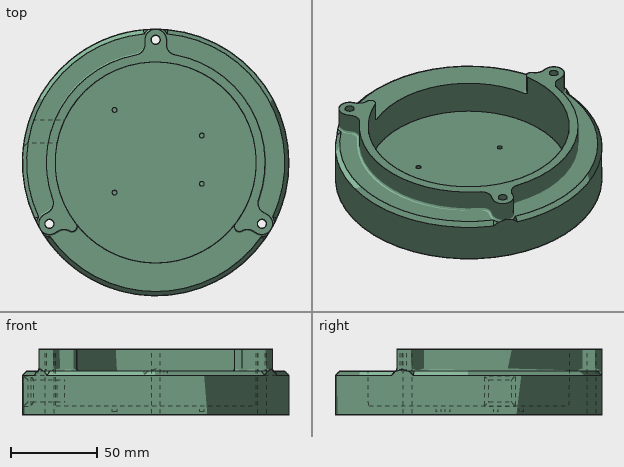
import cadquery as cq
import math

BASE_RADIUS = 77.5
BASE_HEIGHT = 25.4
TOTAL_HEIGHT = 38.1
RIM_CHAMFER = 2.5
FLOOR_THICKNESS = 5.1
BORE_RADIUS = 58.4

WALL_RADIUS = 63.5
WALL_BORE_STOCK = 0.2
WALL_INNER_RADIUS = BORE_RADIUS - WALL_BORE_STOCK
WALL_END_RADIUS = 3.0
EAR_RADIUS = 6.2
EAR_CENTER_RADIUS = BASE_RADIUS - EAR_RADIUS
EAR_SPACING = 120
EAR_ANGLES = (90 - EAR_SPACING, 90, 90 + EAR_SPACING)
EAR_BLEND_RADIUS = 6.2
WALL_FOOT_FILLET = 1.2
EAR_FOOT_RADIUS = 9.3
EAR_HOLE_DIAMETER = 5.1

FLOOR_HOLE_DIAMETER = 2.8
FLOOR_HOLE_DEPTH = 3.1
FLOOR_HOLES = ((-23.9, 30.5), (-23.9, -17.5), (26.8, 15.6), (26.8, -12.4))

WINDOW_WIDTH = 13.3
WINDOW_HEIGHT = 12.7
WINDOW_CENTER_Y = 18.1
WINDOW_BOTTOM = 7.5
WINDOW_CHAMFER = 2.5

OVERSIZE = 6.2
OVERSIZE_RADIUS = BASE_RADIUS + OVERSIZE

SELECT_MARGIN = 0.8


def polar(radius, angle):
    return radius * math.cos(angle), radius * math.sin(angle)


def local_point(ear_angle, along, across):
    """Point given along an ear's axis and across it, counterclockwise positive."""
    c = math.cos(math.radians(ear_angle))
    s = math.sin(math.radians(ear_angle))
    return along * c - across * s, along * s + across * c


def toward(start, target, distance):
    """Point at a distance from start on the line to target."""
    span = math.dist(start, target)
    return tuple(a + (b - a) * distance / span for a, b in zip(start, target))


blend_center_radius = WALL_RADIUS + EAR_BLEND_RADIUS
blend_across = EAR_RADIUS + EAR_BLEND_RADIUS
blend_along = math.sqrt(blend_center_radius**2 - blend_across**2)
blend_angle = math.atan2(blend_across, blend_along)

end_center_radius = WALL_INNER_RADIUS + WALL_END_RADIUS
end_to_blend = WALL_END_RADIUS + EAR_BLEND_RADIUS
blend_to_end_angle = math.acos(
    (blend_center_radius**2 + end_center_radius**2 - end_to_blend**2)
    / (2 * blend_center_radius * end_center_radius)
)
end_angle = blend_angle - blend_to_end_angle


def add_blend(sketch, ear_angle, side, leaving, wall_end):
    """Draw the blend on one side (+1 or -1) of an ear, leaving or reaching the ear."""
    center = local_point(ear_angle, blend_along, side * blend_across)
    flank = local_point(ear_angle, blend_along, side * EAR_RADIUS)
    if wall_end:
        target = local_point(ear_angle, *polar(end_center_radius, side * end_angle))
    else:
        target = (0, 0)
    foot = toward(center, target, EAR_BLEND_RADIUS)
    chord_middle = tuple((a + b) / 2 for a, b in zip(flank, foot))
    middle = toward(center, chord_middle, EAR_BLEND_RADIUS)
    return sketch.threePointArc(middle, foot if leaving else flank)


def wall_end_points(ear_angle, side):
    """Inner point, tip and blend point of the rounded free end beside an ear."""
    center = local_point(ear_angle, *polar(end_center_radius, side * end_angle))
    tangent = math.radians(ear_angle) + side * (end_angle + math.pi / 2)
    blend_center = local_point(ear_angle, blend_along, side * blend_across)
    inner_point = toward(center, (0, 0), WALL_END_RADIUS)
    blend_point = toward(center, blend_center, WALL_END_RADIUS)
    tip = tuple(a + b for a, b in zip(center, polar(WALL_END_RADIUS, tangent)))
    return inner_point, tip, blend_point


def make_wall():
    """Wall and ears, reaching from inside the base up to the top."""
    first, last = EAR_ANGLES[0], EAR_ANGLES[-1]
    inner_start, tip, blend_point = wall_end_points(first, -1)
    sketch = cq.Workplane("XY").moveTo(*inner_start).threePointArc(tip, blend_point)
    for ear in EAR_ANGLES:
        sketch = add_blend(sketch, ear, -1, False, ear == first)
        sketch = sketch.lineTo(*local_point(ear, EAR_CENTER_RADIUS, -EAR_RADIUS))
        sketch = sketch.threePointArc(
            local_point(ear, EAR_CENTER_RADIUS + EAR_RADIUS, 0),
            local_point(ear, EAR_CENTER_RADIUS, EAR_RADIUS),
        )
        sketch = sketch.lineTo(*local_point(ear, blend_along, EAR_RADIUS))
        sketch = add_blend(sketch, ear, 1, True, ear == last)
        if ear != last:
            half_way = math.radians(ear + EAR_SPACING / 2)
            next_foot = math.radians(ear + EAR_SPACING) - blend_angle
            sketch = sketch.threePointArc(polar(WALL_RADIUS, half_way), polar(WALL_RADIUS, next_foot))
    inner_end, tip, _ = wall_end_points(last, 1)
    sketch = sketch.threePointArc(tip, inner_end)
    sketch = sketch.threePointArc((0, WALL_INNER_RADIUS), inner_start).close()
    return sketch.extrude(TOTAL_HEIGHT)


def make_filleted_blank():
    """Oversize base with the wall on top and a fillet all around the foot of the wall."""
    base = cq.Workplane("XY").circle(OVERSIZE_RADIUS).extrude(BASE_HEIGHT)
    wall_zone = cq.selectors.BoxSelector(
        (-BASE_RADIUS - SELECT_MARGIN, -BASE_RADIUS - SELECT_MARGIN, BASE_HEIGHT - SELECT_MARGIN),
        (BASE_RADIUS + SELECT_MARGIN, BASE_RADIUS + SELECT_MARGIN, BASE_HEIGHT + SELECT_MARGIN),
        boundingbox=True,
    )
    return base.union(make_wall()).edges(wall_zone).fillet(WALL_FOOT_FILLET)


def make_rim_cutter():
    """Ring that bevels the top rim of the base, interrupted by a flared foot under each ear."""
    rim_bottom = BASE_HEIGHT - RIM_CHAMFER
    bevel_reach = RIM_CHAMFER + OVERSIZE
    cutter = (
        cq.Workplane("XZ")
        .moveTo(BASE_RADIUS - RIM_CHAMFER, BASE_HEIGHT)
        .lineTo(BASE_RADIUS - RIM_CHAMFER + bevel_reach, BASE_HEIGHT)
        .lineTo(BASE_RADIUS - RIM_CHAMFER + bevel_reach, BASE_HEIGHT - bevel_reach)
        .close()
        .revolve(360, (0, 0), (0, 1))
    )
    for angle in EAR_ANGLES:
        foot = cq.Solid.makeCone(
            EAR_FOOT_RADIUS,
            EAR_RADIUS + WALL_FOOT_FILLET,
            RIM_CHAMFER,
            pnt=cq.Vector(*local_point(angle, EAR_CENTER_RADIUS, 0), rim_bottom),
        )
        cutter = cutter.cut(cq.Workplane(obj=foot))
    return cutter


def make_bore():
    depth = TOTAL_HEIGHT - FLOOR_THICKNESS
    return cq.Workplane("XY").workplane(offset=FLOOR_THICKNESS).circle(BORE_RADIUS).extrude(depth)


def make_windowed_drum():
    """Outer cylinder of the part with a chamfered window through its -X side into the bore."""
    drum = cq.Workplane("XY").circle(BASE_RADIUS).extrude(TOTAL_HEIGHT)
    window = (
        cq.Workplane("XY")
        .box(BASE_RADIUS, WINDOW_WIDTH, WINDOW_HEIGHT, centered=(False, True, False))
        .translate((-BASE_RADIUS, WINDOW_CENTER_Y, WINDOW_BOTTOM))
    )
    mouth = cq.selectors.BoxSelector(
        (-BASE_RADIUS, WINDOW_CENTER_Y - WINDOW_WIDTH, WINDOW_BOTTOM - SELECT_MARGIN),
        (-BORE_RADIUS, WINDOW_CENTER_Y + WINDOW_WIDTH, WINDOW_BOTTOM + WINDOW_HEIGHT + SELECT_MARGIN),
    )
    return drum.cut(window).edges(mouth).chamfer(WINDOW_CHAMFER)


def make_ear_holes():
    centers = [local_point(angle, EAR_CENTER_RADIUS, 0) for angle in EAR_ANGLES]
    return cq.Workplane("XY").pushPoints(centers).circle(EAR_HOLE_DIAMETER / 2).extrude(TOTAL_HEIGHT)


def make_floor_holes():
    floor = cq.Workplane("XY").workplane(offset=FLOOR_THICKNESS)
    return floor.pushPoints(FLOOR_HOLES).circle(FLOOR_HOLE_DIAMETER / 2).extrude(-FLOOR_HOLE_DEPTH)


result = (
    make_filleted_blank()
    .cut(make_rim_cutter())
    .intersect(make_windowed_drum())
    .cut(make_bore())
    .cut(make_ear_holes())
    .cut(make_floor_holes())
)